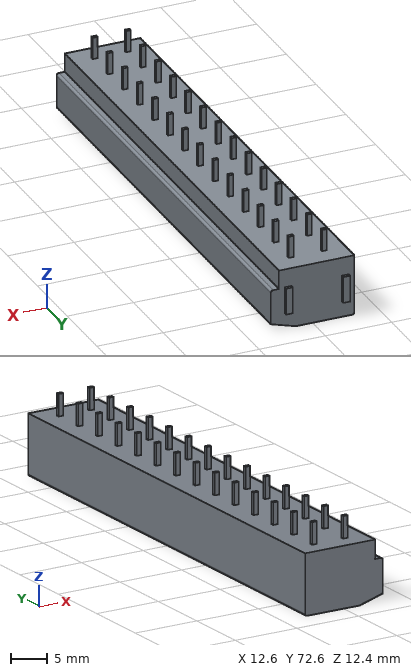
import cadquery as cq

housing_width = 12.6
housing_length = 72.1
housing_height = 9.15
step_width = 1.2
step_height = 6.3
ramp_width = 3.8
ramp_height = 1.1
edge_radius = 0.35

pin_size_x = 0.7
pin_size_y = 0.5
pin_height = 3.3
pin_count = 14
pin_row_length = 66.0
pin_pitch = pin_row_length / (pin_count - 1)
first_pin_y = 2.9
pin_row_positions = (3.2, 8.2)

rib_width = 1.0
rib_depth = 0.5
rib_bottom = 2.4
rib_height = 4.0
rib_positions = (1.4, 10.0)


def make_housing():
    """Stepped block with a sloped lower corner and two rounded long edges."""
    profile = [
        (0, 0),
        (housing_width - ramp_width, 0),
        (housing_width, ramp_height),
        (housing_width, step_height),
        (housing_width - step_width, step_height),
        (housing_width - step_width, housing_height),
        (0, housing_height),
    ]
    block = cq.Workplane("XZ").polyline(profile).close().extrude(-housing_length)

    bottom_edge = (0, housing_length / 2, 0)
    ledge_edge = (housing_width, housing_length / 2, step_height)
    for point_on_edge in (bottom_edge, ledge_edge):
        edge = cq.selectors.NearestToPointSelector(point_on_edge)
        block = block.edges(edge).fillet(edge_radius)
    return block


def make_pins():
    """Two rows of upright pins, standing on the top face."""
    centers = [
        (x, first_pin_y + i * pin_pitch)
        for x in pin_row_positions
        for i in range(pin_count)
    ]
    return (
        cq.Workplane("XY", origin=(0, 0, housing_height))
        .pushPoints(centers)
        .rect(pin_size_x, pin_size_y)
        .extrude(pin_height)
    )


def make_ribs():
    """Two shallow upright ribs on the rear end."""
    rib_center_z = rib_bottom + rib_height / 2
    return (
        cq.Workplane("XZ", origin=(0, housing_length, 0))
        .pushPoints([(x, rib_center_z) for x in rib_positions])
        .rect(rib_width, rib_height)
        .extrude(-rib_depth)
    )


result = make_housing().union(make_pins()).union(make_ribs())